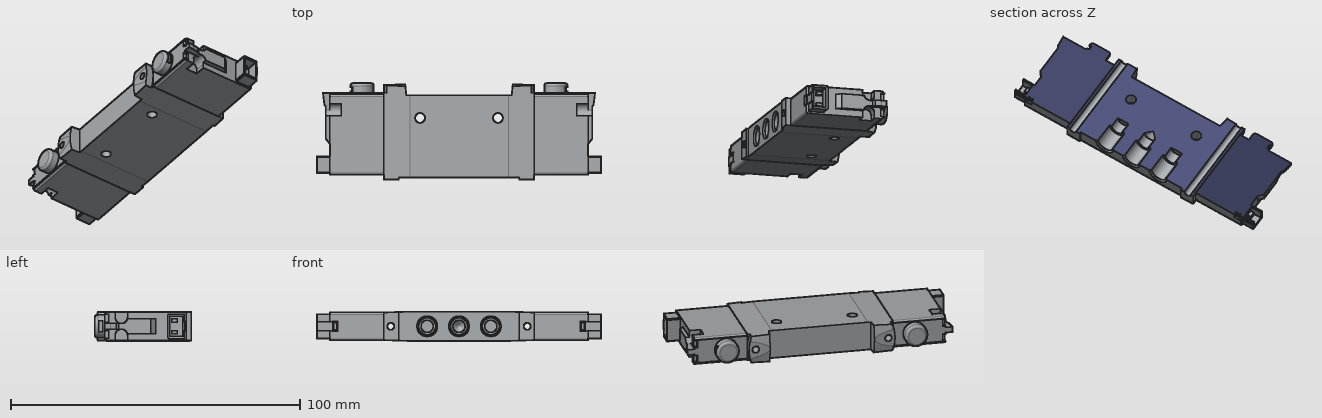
import cadquery as cq

LENGTH = 98.3
END_X = LENGTH / 2
FRONT_Y = -16.7
CUT = 59.0

BODY_FRONT_Y = -16.0
BODY_REAR_Y = 12.5
BODY_HALF_HEIGHT = 5.1
JOINT_X = 26.0
JOINT_HALF_HEIGHT = 4.8
TAPER_START_X = 17.1
FOOT_INNER_X = 20.8
MOUNT_HOLE_DIAMETER = 3.3
MOUNT_HOLE_X = 13.5
MOUNT_HOLE_Y = 4.6
SCREW_HOLE_DIAMETER = 2.4
SCREW_HOLE_X = 23.6

EAR_ROOT_X = 18.2
EAR_TIP_X = 18.6
EAR_INNER_REAR_Y = 16.3
EAR_OUTER_REAR_Y = 16.0
EAR_EDGE_DROP = 0.7
EAR_END_Y = 13.3
EAR_END_SETBACK = 1.0

PORT_PITCH = 11.0
PORT_MOUTH_DIAMETER = 7.1
PORT_DIAMETER = 5.9
PORT_DEPTH = 7.9
PORT_CHAMFER = (PORT_MOUTH_DIAMETER - PORT_DIAMETER) / 2
PORT_CORE_DIAMETER = 4.2
PORT_CORE_DEPTH = 11.8
PORT_CONE_DEPTH = PORT_CORE_DIAMETER / 2

CASE_FRONT_Y = -15.0
CASE_REAR_Y = 12.9
CASE_HALF_HEIGHT = 4.9
CASE_FILLET = 0.7
CAP_INNER_X = 40.7
CAP_OUTER_X = 44.6
PAD_REAR_Y = 13.3
PAD_HALF_HEIGHT = CASE_HALF_HEIGHT - CASE_FILLET

CLIP_OUTER_X = 46.1
CLIP_PLATE_HALF_HEIGHT = 2.6
CLIP_PLATE_FRONT_Y = -4.4
CLIP_BEVEL_Y = -2.7
TONGUE_HALF_HEIGHT = 1.0
TONGUE_TIP_X = 47.1
TONGUE_KNEE_X = 46.9
TONGUE_KNEE_Y = 11.4
TONGUE_HEEL_X = 46.6
TONGUE_HEEL_Y = 9.2
TONGUE_FOOT_Y = 8.5
GROOVE_DIAMETER = 4.2
GROOVE_Y = 7.5
GROOVE_Z = TONGUE_HALF_HEIGHT + GROOVE_DIAMETER / 2

NOTCH_FRONT_Y = 11.9
NOTCH_INNER_Z = 1.5
NOTCH_OUTER_Z = 4.1
NOTCH_DEPTH = 1.0

SOCKET_FRONT_Y = -14.3
SOCKET_REAR_Y = -8.6
SOCKET_HALF_HEIGHT = 4.2
SOCKET_CHAMFER = 0.4
CAVITY_FRONT_Y = -13.7
CAVITY_REAR_Y = -9.3
CAVITY_HALF_HEIGHT = 3.4
CAVITY_DEPTH = 3.9
CONTACT_FRONT_Y = -11.9
CONTACT_REAR_Y = -9.9
CONTACT_INNER_Z = 1.5
CONTACT_OUTER_Z = 2.6
CONTACT_LENGTH = 1.5

BAND_FRONT_Y = SOCKET_FRONT_Y - 0.2
BAND_HALF_HEIGHT = 1.6
WINDOW_OUTER_X = 43.6
WINDOW_INNER_X = 41.9
WINDOW_HALF_HEIGHT = 1.7
WINDOW_FLOOR_Y = -13.8
LATCH_OUTER_X = 43.3
LATCH_INNER_X = 42.4
LATCH_HALF_HEIGHT = 1.2

KNOB_X = 33.5
KNOB_DIAMETER = 8.1
KNOB_REAR_Y = -FRONT_Y
KNOB_FILLET = 1.0
KNOB_POCKET_FRONT_Y = 13.9
KNOB_POCKET_REAR_Y = 15.2
KNOB_POCKET_HALF_HEIGHT = 1.9
KNOB_POCKET_DEPTH = 0.8


def box(x_range, y_range, z_range):
    """Block between two corner planes in each direction."""
    x0, x1 = x_range
    y0, y1 = y_range
    z0, z1 = z_range
    return cq.Workplane("XY").box(x1 - x0, y1 - y0, z1 - z0, centered=False).translate((x0, y0, z0))


def plate(outline, half_height):
    """Closed XY outline extruded evenly about Z = 0."""
    return cq.Workplane("XY").polyline(outline).close().extrude(half_height, both=True)


def y_cylinder(x, y0, y1, diameter):
    """Cylinder along Y on the mid-plane Z = 0."""
    cylinder = cq.Workplane("XZ").circle(diameter / 2).extrude(y0 - y1)
    return cylinder.translate((x, y0, 0))


def mirrored(shape):
    return shape.mirror("YZ")


def end_block():
    """Left end of the valve body: tapered block with a foot in front and an ear behind."""
    block = plate(
        [
            (-JOINT_X, FRONT_Y),
            (-FOOT_INNER_X, FRONT_Y),
            (-FOOT_INNER_X, BODY_FRONT_Y),
            (-TAPER_START_X, BODY_FRONT_Y),
            (-TAPER_START_X, BODY_REAR_Y),
            (-EAR_ROOT_X, BODY_REAR_Y),
            (-EAR_TIP_X, EAR_INNER_REAR_Y),
            (-JOINT_X, EAR_OUTER_REAR_Y),
        ],
        BODY_HALF_HEIGHT,
    )
    taper = (
        cq.Workplane("XZ")
        .polyline(
            [
                (-JOINT_X, -JOINT_HALF_HEIGHT),
                (-TAPER_START_X, -BODY_HALF_HEIGHT),
                (-TAPER_START_X, BODY_HALF_HEIGHT),
                (-JOINT_X, JOINT_HALF_HEIGHT),
            ]
        )
        .close()
        .extrude(CUT, both=True)
    )
    rear_edge_y = EAR_INNER_REAR_Y - EAR_EDGE_DROP
    bulge = (
        cq.Workplane("YZ")
        .moveTo(FRONT_Y, -BODY_HALF_HEIGHT)
        .lineTo(rear_edge_y, -BODY_HALF_HEIGHT)
        .threePointArc((EAR_INNER_REAR_Y, 0), (rear_edge_y, BODY_HALF_HEIGHT))
        .lineTo(FRONT_Y, BODY_HALF_HEIGHT)
        .close()
        .extrude(-CUT)
    )
    ear_edge_x = -JOINT_X + EAR_END_SETBACK
    rounded_end = (
        cq.Workplane("XZ", origin=(0, EAR_END_Y, 0))
        .moveTo(ear_edge_x, -BODY_HALF_HEIGHT)
        .threePointArc((-JOINT_X, 0), (ear_edge_x, BODY_HALF_HEIGHT))
        .lineTo(-CUT, BODY_HALF_HEIGHT)
        .lineTo(-CUT, -BODY_HALF_HEIGHT)
        .close()
        .extrude(-CUT)
    )
    screw_hole = y_cylinder(-SCREW_HOLE_X, -CUT, CUT, SCREW_HOLE_DIAMETER)
    return block.intersect(taper).intersect(bulge).cut(rounded_end).cut(screw_hole)


def port(x, conical):
    """Cutter for one front port; the bottom is flat or a drill cone."""
    core_end = PORT_CORE_DEPTH + (PORT_CONE_DEPTH if conical else 0)
    profile = (
        cq.Workplane("XY")
        .lineTo(PORT_MOUTH_DIAMETER / 2, 0)
        .lineTo(PORT_DIAMETER / 2, PORT_CHAMFER)
        .lineTo(PORT_DIAMETER / 2, PORT_DEPTH)
        .lineTo(PORT_CORE_DIAMETER / 2, PORT_DEPTH)
        .lineTo(PORT_CORE_DIAMETER / 2, PORT_CORE_DEPTH)
        .lineTo(0, core_end)
        .close()
    )
    return profile.revolve(360, (0, 0, 0), (0, 1, 0)).translate((x, BODY_FRONT_Y, 0))


def make_valve_body():
    body = box(
        (-TAPER_START_X, TAPER_START_X),
        (BODY_FRONT_Y, BODY_REAR_Y),
        (-BODY_HALF_HEIGHT, BODY_HALF_HEIGHT),
    )
    block = end_block()
    body = body.union(block).union(mirrored(block))
    for index in (-1, 0, 1):
        body = body.cut(port(index * PORT_PITCH, conical=index == 0))
    mount_holes = (
        cq.Workplane("XY")
        .pushPoints([(-MOUNT_HOLE_X, MOUNT_HOLE_Y), (MOUNT_HOLE_X, MOUNT_HOLE_Y)])
        .circle(MOUNT_HOLE_DIAMETER / 2)
        .extrude(CUT, both=True)
    )
    return body.cut(mount_holes)


def solenoid_case():
    """Coil and end cap in one rounded box, with a flat pad along the rear."""
    case = box(
        (-CAP_OUTER_X, -JOINT_X),
        (CASE_FRONT_Y, CASE_REAR_Y),
        (-CASE_HALF_HEIGHT, CASE_HALF_HEIGHT),
    )
    case = case.edges("|X").fillet(CASE_FILLET)
    pad = box((-CAP_OUTER_X, -JOINT_X), (0, PAD_REAR_Y), (-PAD_HALF_HEIGHT, PAD_HALF_HEIGHT))
    return case.union(pad)


def clip():
    """Plate on the end cap with a thinner, hooked tongue reaching to the rear."""
    clip_plate = plate(
        [
            (-CAP_OUTER_X, CLIP_PLATE_FRONT_Y),
            (-CLIP_OUTER_X, CLIP_BEVEL_Y),
            (-CLIP_OUTER_X, GROOVE_Y),
            (-CAP_OUTER_X, GROOVE_Y),
        ],
        CLIP_PLATE_HALF_HEIGHT,
    )
    tongue = plate(
        [
            (-CAP_OUTER_X, GROOVE_Y),
            (-CLIP_OUTER_X, GROOVE_Y),
            (-CLIP_OUTER_X, TONGUE_FOOT_Y),
            (-TONGUE_HEEL_X, TONGUE_HEEL_Y),
            (-TONGUE_KNEE_X, TONGUE_KNEE_Y),
            (-TONGUE_TIP_X, PAD_REAR_Y),
            (-CAP_OUTER_X, PAD_REAR_Y),
        ],
        TONGUE_HALF_HEIGHT,
    )
    return clip_plate.union(tongue)


def cap_groove(side):
    """Cutter for the round-bottomed groove on the top (side 1) or underside (side -1) of the cap."""
    radius = GROOVE_DIAMETER / 2
    profile = (
        cq.Workplane("YZ")
        .moveTo(GROOVE_Y - radius, side * CUT)
        .lineTo(GROOVE_Y - radius, side * GROOVE_Z)
        .threePointArc((GROOVE_Y, side * TONGUE_HALF_HEIGHT), (GROOVE_Y + radius, side * GROOVE_Z))
        .lineTo(GROOVE_Y + radius, side * CUT)
        .close()
    )
    return profile.extrude(-CUT).translate((-CAP_INNER_X, 0, 0))


def cap_notch(side):
    """Cutter for one rear corner notch in the outer face of the cap."""
    z_range = sorted((side * NOTCH_INNER_Z, side * NOTCH_OUTER_Z))
    return box((-CAP_OUTER_X, -CAP_OUTER_X + NOTCH_DEPTH), (NOTCH_FRONT_Y, CUT), z_range)


def socket():
    """Open-ended connector shroud with two contacts inside."""
    shroud = box(
        (-END_X, -CAP_OUTER_X),
        (SOCKET_FRONT_Y, SOCKET_REAR_Y),
        (-SOCKET_HALF_HEIGHT, SOCKET_HALF_HEIGHT),
    )
    shroud = shroud.edges("|X and >Y").chamfer(SOCKET_CHAMFER)
    cavity_floor_x = -END_X + CAVITY_DEPTH
    cavity = box(
        (-END_X, cavity_floor_x),
        (CAVITY_FRONT_Y, CAVITY_REAR_Y),
        (-CAVITY_HALF_HEIGHT, CAVITY_HALF_HEIGHT),
    )
    shroud = shroud.cut(cavity)
    for side in (-1, 1):
        contact = box(
            (cavity_floor_x - CONTACT_LENGTH, cavity_floor_x),
            (CONTACT_FRONT_Y, CONTACT_REAR_Y),
            sorted((side * CONTACT_INNER_Z, side * CONTACT_OUTER_Z)),
        )
        shroud = shroud.union(contact)
    return shroud


def with_latch(solenoid):
    """Sink the latch channel and window into the cap, then add the band and the latch tooth."""
    channel = box(
        (-CAP_OUTER_X, -WINDOW_OUTER_X),
        (FRONT_Y, BAND_FRONT_Y),
        (-BAND_HALF_HEIGHT, BAND_HALF_HEIGHT),
    )
    window = box(
        (-WINDOW_OUTER_X, -WINDOW_INNER_X),
        (FRONT_Y, WINDOW_FLOOR_Y),
        (-WINDOW_HALF_HEIGHT, WINDOW_HALF_HEIGHT),
    )
    band = box(
        (-END_X, -CAP_OUTER_X),
        (BAND_FRONT_Y, SOCKET_FRONT_Y),
        (-BAND_HALF_HEIGHT, BAND_HALF_HEIGHT),
    )
    tooth = box(
        (-LATCH_OUTER_X, -LATCH_INNER_X),
        (BAND_FRONT_Y, WINDOW_FLOOR_Y),
        (-LATCH_HALF_HEIGHT, LATCH_HALF_HEIGHT),
    )
    return solenoid.cut(channel).cut(window).union(band).union(tooth)


def knob():
    """Rounded override knob with a pocket in its outer side."""
    button = y_cylinder(-KNOB_X, CASE_REAR_Y, KNOB_REAR_Y, KNOB_DIAMETER)
    button = button.faces(">Y").fillet(KNOB_FILLET)
    outer_x = -KNOB_X - KNOB_DIAMETER / 2
    pocket = box(
        (outer_x, outer_x + KNOB_POCKET_DEPTH),
        (KNOB_POCKET_FRONT_Y, KNOB_POCKET_REAR_Y),
        (-KNOB_POCKET_HALF_HEIGHT, KNOB_POCKET_HALF_HEIGHT),
    )
    return button.cut(pocket)


def make_solenoid():
    """Left-hand solenoid pilot unit."""
    solenoid = solenoid_case().union(clip())
    for side in (-1, 1):
        solenoid = solenoid.cut(cap_groove(side)).cut(cap_notch(side))
    solenoid = solenoid.union(socket())
    return with_latch(solenoid).union(knob())


valve_body = make_valve_body()
solenoids = []
for on_right in (False, True):
    unit = make_solenoid()
    solenoids.append(mirrored(unit) if on_right else unit)

result = cq.Compound.makeCompound([valve_body.val(), *[unit.val() for unit in solenoids]])